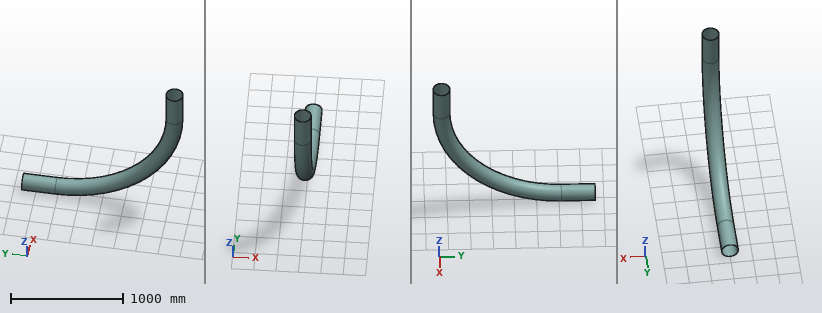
import cadquery as cq

overall_length = 1448.0
outer_diameter = 152.0
inner_diameter = 146.0
straight_length = 304.0

outer_radius = outer_diameter / 2
bend_radius = overall_length - outer_radius - straight_length


def ring(plane):
    """Pipe cross-section centred on the origin of a plane."""
    return cq.Workplane(plane).circle(outer_radius).circle(inner_diameter / 2)


upright_end = ring("XY").extrude(straight_length)

bend = ring("XY").revolve(90, (0, bend_radius, 0), (1, bend_radius, 0))

level_start = cq.Plane(origin=(0, bend_radius, -bend_radius), xDir=(1, 0, 0), normal=(0, 1, 0))
level_end = ring(level_start).extrude(straight_length)

result = upright_end.union(bend).union(level_end)